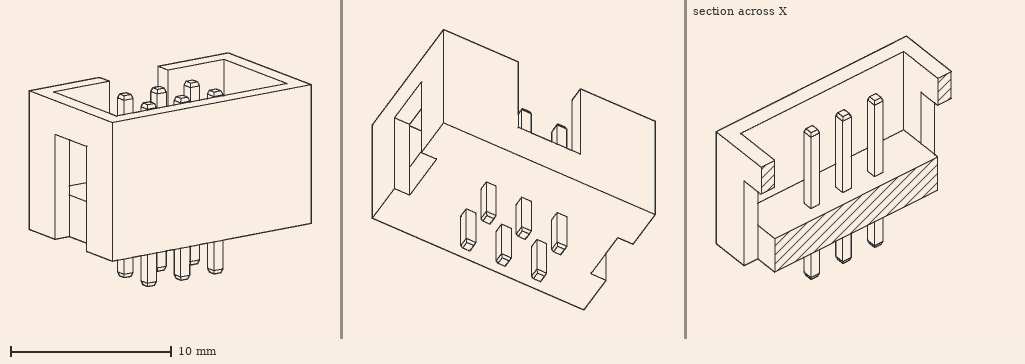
import cadquery as cq

housing_width = 9.0
housing_length = 15.2
housing_height = 9.0
wall = 1.1
floor_height = 2.7

notch_width = 4.45

window_width = 3.39
window_top = housing_height - 2.19

pin_columns = 2
pin_rows = 3
pin_pitch = 2.54
pin_side = 0.7
pin_tail = 3.1
pin_top = housing_height - 0.3
tip_height = 0.26
tip_inset = 0.09


def box_on(z_bottom, size_x, size_y, size_z):
    """Box centred on the Z axis, standing on the given height."""
    solid = cq.Workplane("XY").box(size_x, size_y, size_z, centered=(True, True, False))
    return solid.translate((0, 0, z_bottom))


def make_housing():
    """Open-topped box with a side notch and a window in each end wall."""
    cavity_depth = housing_height - floor_height
    housing = box_on(0, housing_width, housing_length, housing_height)
    housing = housing.cut(
        box_on(floor_height, housing_width - 2 * wall, housing_length - 2 * wall, cavity_depth)
    )
    notch = box_on(floor_height, wall, notch_width, cavity_depth)
    housing = housing.cut(notch.translate(((wall - housing_width) / 2, 0, 0)))
    for end in (-1, 1):
        window = box_on(0, window_width, wall, window_top)
        housing = housing.cut(window.translate((0, end * (housing_length - wall) / 2, 0)))
    return housing


def make_pin():
    """Square pin tapered at both ends."""
    pin = box_on(-pin_tail, pin_side, pin_side, pin_top + pin_tail)
    return pin.faces("<Z or >Z").chamfer(tip_height, tip_inset)


result = make_housing()
pin = make_pin()
for column in range(pin_columns):
    for row in range(pin_rows):
        x = (column - (pin_columns - 1) / 2) * pin_pitch
        y = (row - (pin_rows - 1) / 2) * pin_pitch
        result = result.union(pin.translate((x, y, 0)))